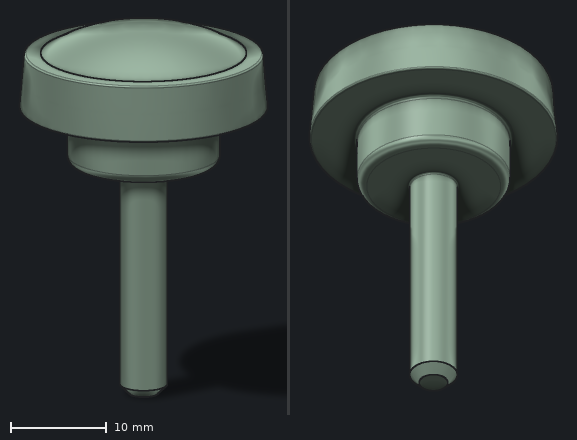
import cadquery as cq

total_height = 40.0
head_diameter = 26.0
hub_diameter = 16.0
shaft_diameter = 5.0

head_top_diameter = 25.0
dome_diameter = 21.5
dome_height = 3.0
head_height = 6.0
rim_fillet = 0.2

hub_height = 6.0
hub_fillet = 1.0
hub_root_fillet = 0.4
shaft_root_fillet = 0.2
tip_chamfer = 1.0

hub_base = total_height - dome_height - head_height - hub_height
head_base = hub_base + hub_height
head_top = head_base + head_height


def make_head():
    """Tapered disc with softened rims."""
    bottom_radius = head_diameter / 2
    top_radius = head_top_diameter / 2
    profile = (
        cq.Workplane("XZ")
        .moveTo(0, head_base)
        .lineTo(bottom_radius, head_base)
        .lineTo(top_radius, head_top)
        .lineTo(0, head_top)
        .close()
    )
    disc = profile.revolve(360, (0, 0, 0), (0, 1, 0))
    return disc.faces("<Z or >Z").edges().fillet(rim_fillet)


def make_dome():
    """Spherical cap on top of the head."""
    rim_radius = dome_diameter / 2
    sphere_radius = (rim_radius**2 + dome_height**2) / (2 * dome_height)
    sphere = cq.Workplane("XY").sphere(sphere_radius).translate((0, 0, total_height - sphere_radius))
    keep = cq.Workplane("XY").workplane(offset=head_top).circle(rim_radius * 2).extrude(dome_height * 2)
    return sphere.intersect(keep)


def make_hub():
    """Cylinder under the head with a rounded lower edge."""
    hub = cq.Workplane("XY").workplane(offset=hub_base).circle(hub_diameter / 2).extrude(hub_height)
    return hub.faces("<Z").edges().fillet(hub_fillet)


def make_shaft():
    """Plain pin with a chamfered tip."""
    shaft = cq.Workplane("XY").circle(shaft_diameter / 2).extrude(head_base)
    return shaft.faces("<Z").edges().chamfer(tip_chamfer)


def make_root_flare(radius, top, fillet):
    """Concave ring that blends a cylinder into the flat face above it."""
    profile = (
        cq.Workplane("XZ")
        .moveTo(0, top)
        .lineTo(radius + fillet, top)
        .radiusArc((radius, top - fillet), -fillet)
        .lineTo(0, top - fillet)
        .close()
    )
    return profile.revolve(360, (0, 0, 0), (0, 1, 0))


result = (
    make_head()
    .union(make_dome())
    .union(make_hub())
    .union(make_shaft())
    .union(make_root_flare(hub_diameter / 2, head_base, hub_root_fillet))
    .union(make_root_flare(shaft_diameter / 2, hub_base, shaft_root_fillet))
)